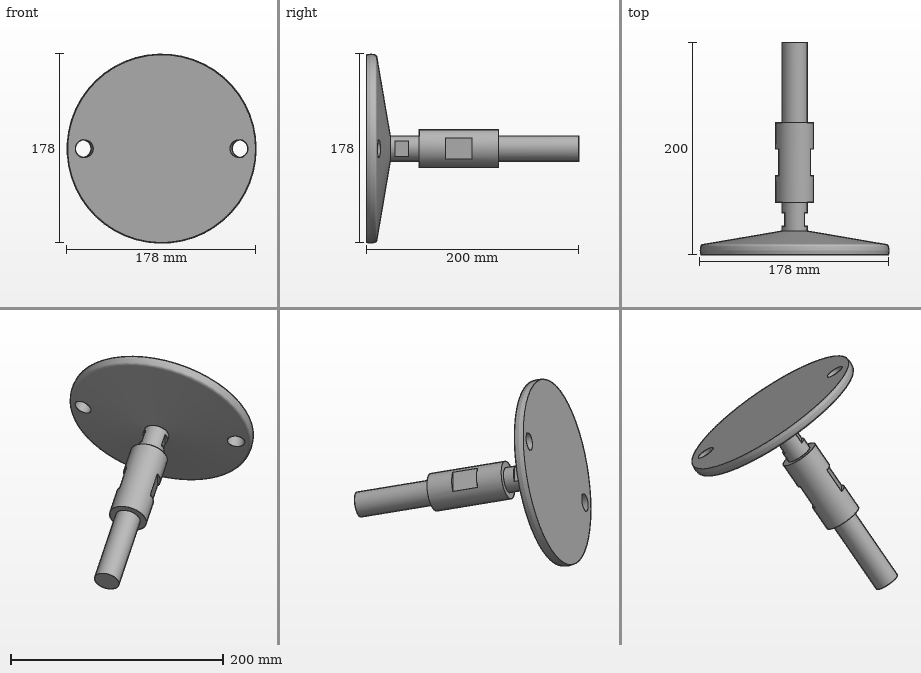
import cadquery as cq
import math

RIM_DIAMETER = 178.0
PARTING_HEIGHT = 4.1
RIM_DRAFT = 8.0
RIM_FILLET = 2.9
CONE_ANGLE = 9.7
CONE_TOP = 22.5

HOLE_DIAMETER = 16.5
HOLE_OFFSET = 72.7
HOLE_CUTTER_LENGTH = 60.0

SPINDLE_DIAMETER = 24.0
SPINDLE_END = 200.0
SPINDLE_FLATS_WIDTH = 19.0
SPINDLE_FLATS_START = 27.0
SPINDLE_FLATS_LENGTH = 12.5

SLEEVE_DIAMETER = 36.0
SLEEVE_START = 49.5
SLEEVE_LENGTH = 75.0
SLEEVE_FLATS_WIDTH = 30.0
SLEEVE_FLATS_LENGTH = SLEEVE_LENGTH / 3
SLEEVE_FLATS_START = SLEEVE_START + (SLEEVE_LENGTH - SLEEVE_FLATS_LENGTH) / 2


def round_bar(diameter, start, length):
    """Bar on the Y axis, running toward +Y from Y = start."""
    bar = cq.Solid.makeCylinder(
        diameter / 2, length, cq.Vector(0, start, 0), cq.Vector(0, 1, 0)
    )
    return cq.Workplane(bar)


def cut_flats(body, diameter, width, start, length):
    """Cut a pair of wrench flats, facing -X and +X, into a round body."""
    depth = (diameter - width) / 2
    middle = start + length / 2
    for side in (-1, 1):
        x = side * (width + depth) / 2
        body = body.cut(cq.Workplane("XY").box(depth, length, diameter).translate((x, middle, 0)))
    return body


def make_plate():
    """Revolve the plate outline and round the shoulder between rim and cone."""
    draft = math.tan(math.radians(RIM_DRAFT))
    slope = math.tan(math.radians(CONE_ANGLE))
    rim_radius = RIM_DIAMETER / 2
    spindle_radius = SPINDLE_DIAMETER / 2
    base_radius = rim_radius - PARTING_HEIGHT * draft

    cone_height_at_rim = CONE_TOP - (rim_radius - spindle_radius) * slope
    shoulder_rise = (cone_height_at_rim - PARTING_HEIGHT) / (1 - draft * slope)
    shoulder = (rim_radius - shoulder_rise * draft, PARTING_HEIGHT + shoulder_rise)

    plate = (
        cq.Workplane("XY")
        .moveTo(0, 0)
        .lineTo(base_radius, 0)
        .lineTo(rim_radius, PARTING_HEIGHT)
        .lineTo(*shoulder)
        .lineTo(spindle_radius, CONE_TOP)
        .lineTo(0, CONE_TOP)
        .close()
        .revolve(360, (0, 0, 0), (0, 1, 0))
    )
    shoulder_edge = cq.selectors.NearestToPointSelector((0, shoulder[1], 0))
    circles = plate.edges("%CIRCLE")
    return circles.edges(shoulder_edge).fillet(RIM_FILLET)


def drill_anchor_holes(plate):
    """Drill one hole on each side, leaning outward so it is square to the cone."""
    lean = math.radians(CONE_ANGLE)
    for side in (-1, 1):
        direction = cq.Vector(side * math.sin(lean), math.cos(lean), 0)
        centre = cq.Vector(side * HOLE_OFFSET, 0, 0)
        start = centre - direction * (HOLE_CUTTER_LENGTH / 2)
        drill = cq.Solid.makeCylinder(HOLE_DIAMETER / 2, HOLE_CUTTER_LENGTH, start, direction)
        plate = plate.cut(cq.Workplane(drill))
    return plate


def make_foot():
    """Plate and spindle in one piece."""
    plate = drill_anchor_holes(make_plate())
    spindle = round_bar(SPINDLE_DIAMETER, CONE_TOP, SPINDLE_END - CONE_TOP)
    spindle = cut_flats(
        spindle, SPINDLE_DIAMETER, SPINDLE_FLATS_WIDTH, SPINDLE_FLATS_START, SPINDLE_FLATS_LENGTH
    )
    return plate.union(spindle)


def make_sleeve():
    """Tube that fits around the spindle."""
    tube = round_bar(SLEEVE_DIAMETER, SLEEVE_START, SLEEVE_LENGTH)
    tube = cut_flats(
        tube, SLEEVE_DIAMETER, SLEEVE_FLATS_WIDTH, SLEEVE_FLATS_START, SLEEVE_FLATS_LENGTH
    )
    bore = round_bar(SPINDLE_DIAMETER, SLEEVE_START, SLEEVE_LENGTH)
    return tube.cut(bore)


foot = make_foot()
sleeve = make_sleeve()
result = cq.Compound.makeCompound([foot.solids().val(), sleeve.solids().val()])